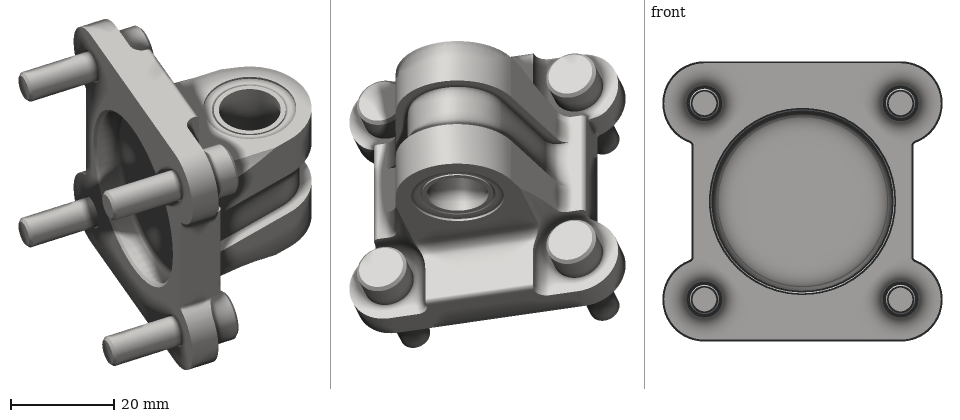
import cadquery as cq
import math


plate_size = 54.0
plate_thickness = 9.0
lobe_radius = 8.0
screw_offset = plate_size / 2 - lobe_radius
waist_half_width = 21.35
notch_radius = 0.75
plate_edge_radius = 1.0

seat_height = 5.5
seat_corner_radius = 8.2
seat_fillet = 2.5
seat_wall_offset = screw_offset - seat_corner_radius

pocket_diameter = 35.0
pocket_depth = 5.0
pocket_chamfer = 0.5
pocket_fillet = 1.0

pivot_height = 25.0
cheek_radius = 12.0
web_radius = 9.65
eye_width = 28.0
web_width = 10.0
side_taper = math.radians(15)
root_fillet = 2.5

bore_diameter = 12.0
recess_diameter = 18.0
recess_depth = 0.5
collar_diameter = 14.0
groove_size = 0.4

screw_hole_diameter = 6.6
shank_diameter = 6.0
head_diameter = 10.0
head_height = 6.0
screw_tip_reach = 14.45
head_chamfer = 0.6
head_underside_chamfer = 0.15
tip_chamfer = 0.55

MIRROR_SIGNS = [(1, 1), (-1, 1), (-1, -1), (1, -1)]
screw_positions = [(sx * screw_offset, sz * screw_offset) for sx, sz in MIRROR_SIGNS]


def make_plate():
    """Waisted square plate with a round lobe at each corner and a rounded back edge."""
    plate = cq.Workplane("XZ").rect(2 * waist_half_width, 2 * screw_offset).extrude(-plate_thickness)
    for side in (1, -1):
        bar = (
            cq.Workplane("XZ")
            .center(0, side * screw_offset)
            .slot2D(plate_size, 2 * lobe_radius)
            .extrude(-plate_thickness)
        )
        plate = plate.union(bar)

    lobe_rise = math.sqrt(lobe_radius**2 - (waist_half_width - screw_offset) ** 2)
    notch_z = screw_offset - lobe_rise
    for sx, sz in MIRROR_SIGNS:
        corner = cq.selectors.NearestToPointSelector(
            (sx * waist_half_width, plate_thickness / 2, sz * notch_z)
        )
        plate = plate.edges("|Y").edges(corner).fillet(notch_radius)
    return plate.faces(">Y").edges().fillet(plate_edge_radius)


def make_eye_slab(radius, width):
    """Tapered eye of one thickness, with concave fillets where its sides meet the plate."""
    normal_x = math.cos(side_taper)
    normal_y = math.sin(side_taper)
    tangent_x = radius * normal_x
    tangent_y = pivot_height + radius * normal_y

    fillet_y = plate_thickness + root_fillet
    fillet_x = (radius + root_fillet - normal_y * (fillet_y - pivot_height)) / normal_x
    side_x = fillet_x - root_fillet * normal_x
    side_y = fillet_y - root_fillet * normal_y
    mid_angle = (math.pi / 2 + side_taper) / 2
    mid_x = fillet_x - root_fillet * math.cos(mid_angle)
    mid_y = fillet_y - root_fillet * math.sin(mid_angle)

    return (
        cq.Workplane("XY", origin=(0, 0, -width / 2))
        .moveTo(fillet_x, seat_height)
        .lineTo(fillet_x, plate_thickness)
        .threePointArc((mid_x, mid_y), (side_x, side_y))
        .lineTo(tangent_x, tangent_y)
        .threePointArc((0, pivot_height + radius), (-tangent_x, tangent_y))
        .lineTo(-side_x, side_y)
        .threePointArc((-mid_x, mid_y), (-fillet_x, plate_thickness))
        .lineTo(-fillet_x, seat_height)
        .close()
        .extrude(width)
    )


def make_eye():
    """Web between two equal cheeks."""
    slot = cq.Workplane("XY").box(plate_size, 2 * plate_size, web_width)
    cheeks = make_eye_slab(cheek_radius, eye_width).cut(slot)
    return cheeks.union(make_eye_slab(web_radius, web_width))


def make_face_fillets():
    """Concave fillets along X where the outer cheek faces meet the plate."""
    face_z = eye_width / 2
    top_y = plate_thickness + root_fillet
    arc_inset = root_fillet * (1 - math.sqrt(0.5))
    strip = (
        cq.Workplane("YZ", origin=(-seat_wall_offset - root_fillet, 0, 0))
        .moveTo(top_y, face_z)
        .threePointArc(
            (plate_thickness + arc_inset, face_z + arc_inset),
            (plate_thickness, face_z + root_fillet),
        )
        .lineTo(seat_height, face_z + root_fillet)
        .lineTo(seat_height, face_z)
        .close()
        .extrude(2 * (seat_wall_offset + root_fillet))
    )
    return strip.union(strip.mirror("XY"))


def make_seat_cutter(sx, sz):
    """Clearance above one screw seat, open toward the plate corner and toward +Y."""
    size = plate_size
    centre = seat_wall_offset + size / 2
    cutter = (
        cq.Workplane("XZ", origin=(0, seat_height, 0))
        .center(sx * centre, sz * centre)
        .rect(size, size)
        .extrude(-size)
        .edges("|Y")
        .fillet(seat_corner_radius)
    )
    return cutter.faces("<Y").edges().fillet(seat_fillet)


def make_pocket():
    """Pocket with a chamfered mouth and a filleted floor."""
    wall_radius = pocket_diameter / 2
    floor_radius = wall_radius - pocket_fillet
    arc_inset = pocket_fillet * (1 - math.sqrt(0.5))
    return (
        cq.Workplane("XY")
        .moveTo(0, 0)
        .lineTo(wall_radius + pocket_chamfer, 0)
        .lineTo(wall_radius, pocket_chamfer)
        .lineTo(wall_radius, pocket_depth - pocket_fillet)
        .threePointArc(
            (wall_radius - arc_inset, pocket_depth - arc_inset),
            (floor_radius, pocket_depth),
        )
        .lineTo(0, pocket_depth)
        .close()
        .revolve(360, (0, 0, 0), (0, 1, 0))
    )


def make_bore_end():
    """Shallow recess and V-shaped ring groove at the upper end of the bore."""
    top = eye_width / 2
    floor = top - recess_depth
    collar_radius = collar_diameter / 2
    return (
        cq.Workplane("XZ")
        .moveTo(0, top)
        .lineTo(recess_diameter / 2, top)
        .lineTo(recess_diameter / 2, floor)
        .lineTo(collar_radius + groove_size, floor)
        .lineTo(collar_radius, floor - groove_size)
        .lineTo(collar_radius, floor)
        .lineTo(0, floor)
        .close()
        .revolve(360, (0, 0, 0), (0, 1, 0))
        .translate((0, pivot_height, 0))
    )


def make_bracket():
    bracket = make_plate().union(make_eye()).union(make_face_fillets())
    for sx, sz in MIRROR_SIGNS:
        bracket = bracket.cut(make_seat_cutter(sx, sz))
    bracket = bracket.cut(make_pocket())

    bore = (
        cq.Workplane("XY", origin=(0, pivot_height, 0))
        .circle(bore_diameter / 2)
        .extrude(eye_width / 2, both=True)
    )
    bore_end = make_bore_end()
    bracket = bracket.cut(bore).cut(bore_end).cut(bore_end.mirror("XY"))

    screw_holes = (
        cq.Workplane("XZ")
        .pushPoints(screw_positions)
        .circle(screw_hole_diameter / 2)
        .extrude(-plate_thickness)
    )
    return bracket.cut(screw_holes)


def make_screw(x, z):
    """Cylinder-head screw whose head rests on its seat."""
    head = (
        cq.Workplane("XZ", origin=(x, seat_height, z))
        .circle(head_diameter / 2)
        .extrude(-head_height)
        .faces(">Y")
        .edges()
        .chamfer(head_chamfer)
        .faces("<Y")
        .edges()
        .chamfer(head_underside_chamfer)
    )
    shank = (
        cq.Workplane("XZ", origin=(x, seat_height, z))
        .circle(shank_diameter / 2)
        .extrude(seat_height + screw_tip_reach)
        .faces("<Y")
        .edges()
        .chamfer(tip_chamfer)
    )
    return head.union(shank)


bracket = make_bracket()
screws = [make_screw(x, z) for x, z in screw_positions]

result = cq.Compound.makeCompound([bracket.val(), *[screw.val() for screw in screws]])